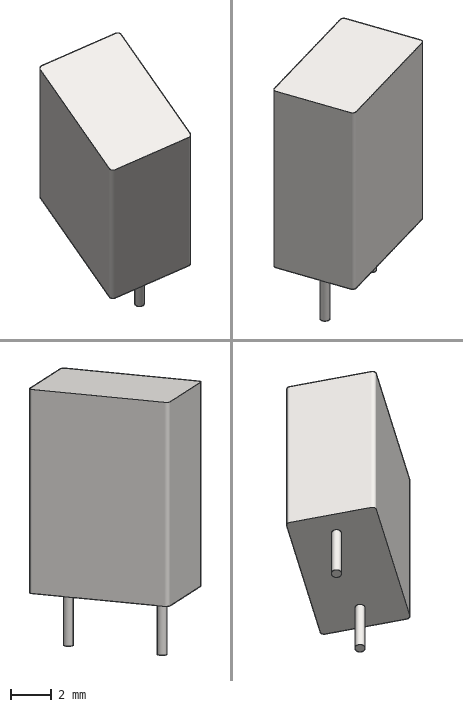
import cadquery as cq

body_width = 7.5
body_depth = 4.6
total_height = 13.6

lead_length = 3.1
lead_diameter = 0.5
lead_pitch = 5.0
corner_radius = 0.2
body_height = total_height - lead_length


def make_body():
    """Box standing on Z = 0 with rounded upright edges."""
    body = cq.Workplane("XY").box(
        body_width, body_depth, body_height, centered=(True, True, False)
    )
    return body.edges("|Z").fillet(corner_radius)


def add_leads(body):
    """Two round leads hanging from the underside, centred across the depth."""
    return (
        body.faces("<Z")
        .workplane(origin=(0, 0, 0))
        .rarray(lead_pitch, 0.14, 2, 1)
        .circle(lead_diameter / 2)
        .extrude(lead_length)
    )


result = add_leads(make_body())